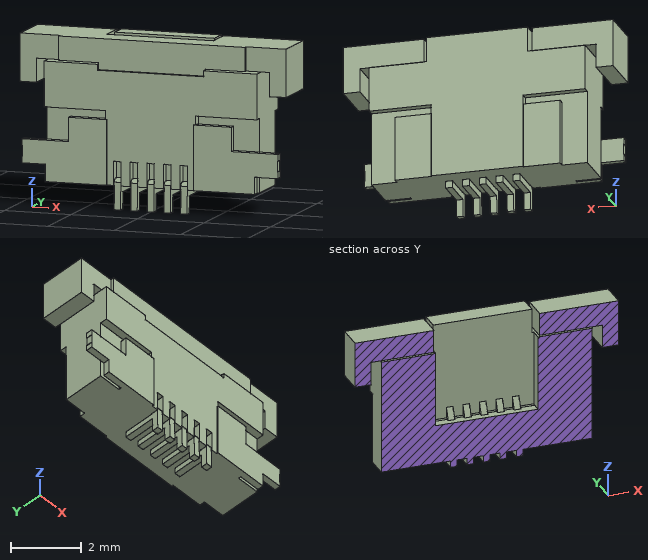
import cadquery as cq
import math


HOUSING_WIDTH = 6.4
HOUSING_DEPTH = 1.82
HOUSING_HEIGHT = 3.47
TAB_RECESS_DEPTH = 0.23
TAB_RECESS_TOP = 2.15
TAB_RECESS_INNER_X = 1.36

OPENING_WIDTH = 3.2
OPENING_FRONT_Y = 0.82
REAR_WALL_WIDTH = 3.0
REAR_WALL_THICKNESS = 0.61
CABLE_SLOT_WIDTH = 3.1
CABLE_SLOT_FLOOR = 1.2
FLOOR_BEVEL_RUN = 0.06
FLOOR_BEVEL_RISE = 0.02

SLIDER_WIDTH = 8.0
SLIDER_TOP = 4.2
SLIDER_BRIDGE_BOTTOM = 3.5
SLIDER_ARM_BOTTOM = 2.8
SLIDER_ARM_WIDTH = 0.5
SLIDER_FRONT_Y = 0.21
SLIDER_BACK_Y = 1.72
SLIDER_BOSS_WIDTH = 5.6
SLIDER_BOSS_FRONT_Y = 0.10
TONGUE_BOTTOM = 3.3

TAB_THICKNESS = 0.2
TAB_PROUD = 0.05
TAB_TOP = 1.9
TAB_INNER_X = 1.31
TAB_STEP_X = 2.45
TAB_BASE_X = 3.15
TAB_FOOT_X = 3.85
TAB_FOOT_BOTTOM = 0.5
TAB_FOOT_TOP = 1.2
FOOT_NICK_DEPTH = 0.01
FOOT_NICK_BOTTOM = 0.7
FOOT_NICK_TOP = 1.0
TAB_PAD_HEIGHT = 0.6
REAR_TAB_INSET = 0.05

CONTACT_COUNT = 5
CONTACT_PITCH = 0.5
CONTACT_WIDTH = 0.2
CONTACT_NOTCH_WIDTH = 0.22
CONTACT_NOTCH_HEIGHT = 0.7
LEG_THICKNESS = 0.2
LEG_LEAN = 0.02
LEG_BOTTOM = -0.7
LEG_TOP = 0.1
LEAD_BOTTOM = -0.2
LEAD_BACK_Y = 1.26
LEAD_TOP = 0.2
BEND_RADIUS = 0.15
BUMP_REACH = 0.15
BUMP_HEIGHT = 0.35

REAR_WALL_FRONT_Y = HOUSING_DEPTH - REAR_WALL_THICKNESS
CONTACT_XS = [(i - (CONTACT_COUNT - 1) / 2) * CONTACT_PITCH for i in range(CONTACT_COUNT)]


def box(x0, x1, y0, y1, z0, z1):
    """Box between two opposite corners."""
    return cq.Workplane("XY").box(x1 - x0, y1 - y0, z1 - z0, centered=False).translate((x0, y0, z0))


def centred_box(width, y0, y1, z0, z1, x=0):
    """Box of the given width, centred on x."""
    return box(x - width / 2, x + width / 2, y0, y1, z0, z1)


def side_profile(x, width):
    """Start a YZ sketch whose extrusion by `width` is centred on x."""
    return cq.Workplane("YZ", origin=(x - width / 2, 0, 0))


def both_sides(solid):
    """The solid together with its mirror image across the mid plane."""
    return solid.union(solid.mirror("YZ"))


def cable_slot():
    """Space for the cable, with a shallow bevel where the floor meets the rear wall."""
    return (
        side_profile(0, CABLE_SLOT_WIDTH)
        .moveTo(OPENING_FRONT_Y, CABLE_SLOT_FLOOR)
        .lineTo(REAR_WALL_FRONT_Y - FLOOR_BEVEL_RUN, CABLE_SLOT_FLOOR)
        .lineTo(REAR_WALL_FRONT_Y, CABLE_SLOT_FLOOR + FLOOR_BEVEL_RISE)
        .lineTo(REAR_WALL_FRONT_Y, SLIDER_TOP)
        .lineTo(OPENING_FRONT_Y, SLIDER_TOP)
        .close()
        .extrude(CABLE_SLOT_WIDTH)
    )


def housing():
    """Block with tab recesses front and back, a tongue notch and contact notches."""
    body = centred_box(HOUSING_WIDTH, 0, HOUSING_DEPTH, 0, HOUSING_HEIGHT)
    rear_wall = centred_box(REAR_WALL_WIDTH, REAR_WALL_FRONT_Y, HOUSING_DEPTH, 0, SLIDER_TOP)
    body = body.union(rear_wall)
    for y0 in (0, HOUSING_DEPTH - TAB_RECESS_DEPTH):
        recess = box(TAB_RECESS_INNER_X, HOUSING_WIDTH / 2, y0, y0 + TAB_RECESS_DEPTH, 0, TAB_RECESS_TOP)
        body = body.cut(both_sides(recess))
    body = body.cut(centred_box(OPENING_WIDTH, 0, OPENING_FRONT_Y, TONGUE_BOTTOM, HOUSING_HEIGHT))
    for x in CONTACT_XS:
        body = body.cut(centred_box(CONTACT_NOTCH_WIDTH, 0, TAB_RECESS_DEPTH, 0, CONTACT_NOTCH_HEIGHT, x))
    return body.cut(cable_slot())


def slider():
    """Bridge with an arm at each end, a front boss, a rear opening and a tongue into the housing."""
    half = SLIDER_WIDTH / 2
    lock = centred_box(SLIDER_WIDTH, SLIDER_FRONT_Y, SLIDER_BACK_Y, SLIDER_BRIDGE_BOTTOM, SLIDER_TOP)
    opening = centred_box(OPENING_WIDTH, OPENING_FRONT_Y, SLIDER_BACK_Y, SLIDER_BRIDGE_BOTTOM, SLIDER_TOP)
    arm = box(half - SLIDER_ARM_WIDTH, half, SLIDER_FRONT_Y, SLIDER_BACK_Y, SLIDER_ARM_BOTTOM, SLIDER_TOP)
    boss = centred_box(
        SLIDER_BOSS_WIDTH, SLIDER_BOSS_FRONT_Y, SLIDER_FRONT_Y, SLIDER_BRIDGE_BOTTOM, SLIDER_TOP
    )
    tongue = centred_box(OPENING_WIDTH, SLIDER_BOSS_FRONT_Y, OPENING_FRONT_Y, TONGUE_BOTTOM, SLIDER_TOP)
    return lock.cut(opening).union(both_sides(arm)).union(boss).union(tongue)


def front_tabs():
    """Stepped solder tabs with end-nicked side feet, each joined to its recess by a low pad."""
    front_y = -TAB_PROUD
    back_y = front_y + TAB_THICKNESS
    tab = box(TAB_INNER_X, TAB_STEP_X, front_y, back_y, 0, TAB_TOP)
    base = box(TAB_STEP_X, TAB_BASE_X, front_y, back_y, 0, TAB_FOOT_TOP)
    foot = box(TAB_STEP_X, TAB_FOOT_X, front_y, back_y, TAB_FOOT_BOTTOM, TAB_FOOT_TOP)
    nick = box(
        TAB_FOOT_X - FOOT_NICK_DEPTH, TAB_FOOT_X, front_y, back_y, FOOT_NICK_BOTTOM, FOOT_NICK_TOP
    )
    pad = box(TAB_RECESS_INNER_X, TAB_STEP_X, back_y, TAB_RECESS_DEPTH, 0, TAB_PAD_HEIGHT)
    return both_sides(tab.union(base).union(foot).cut(nick).union(pad))


def rear_tabs():
    """Plain tabs lying in the rear recesses."""
    front_y = HOUSING_DEPTH - TAB_RECESS_DEPTH
    back_y = HOUSING_DEPTH - REAR_TAB_INSET
    return both_sides(box(TAB_RECESS_INNER_X, TAB_STEP_X, front_y, back_y, 0, TAB_TOP))


def contact_lead(x):
    """Lead under the housing, rounded over in its notch into a slightly leaning leg."""
    bend_centre_z = LEAD_TOP - BEND_RADIUS
    bend_end_angle = math.asin((LEG_TOP - bend_centre_z) / BEND_RADIUS)
    bend_centre_y = LEG_LEAN + BEND_RADIUS * math.cos(bend_end_angle)
    bend_middle_angle = (bend_end_angle + math.pi / 2) / 2
    bend_middle = (
        bend_centre_y - BEND_RADIUS * math.cos(bend_middle_angle),
        bend_centre_z + BEND_RADIUS * math.sin(bend_middle_angle),
    )
    return (
        side_profile(x, CONTACT_WIDTH)
        .moveTo(0, LEG_BOTTOM)
        .lineTo(LEG_THICKNESS, LEG_BOTTOM)
        .lineTo(LEG_THICKNESS + LEG_LEAN, LEAD_BOTTOM)
        .lineTo(LEAD_BACK_Y, LEAD_BOTTOM)
        .lineTo(LEAD_BACK_Y, 0)
        .lineTo(TAB_RECESS_DEPTH, 0)
        .lineTo(TAB_RECESS_DEPTH, LEAD_TOP)
        .lineTo(bend_centre_y, LEAD_TOP)
        .threePointArc(bend_middle, (LEG_LEAN, LEG_TOP))
        .close()
        .extrude(CONTACT_WIDTH)
    )


def contact_bump(x):
    """Wedge on the rear wall that presses on the cable."""
    return (
        side_profile(x, CONTACT_WIDTH)
        .moveTo(REAR_WALL_FRONT_Y, CABLE_SLOT_FLOOR)
        .lineTo(REAR_WALL_FRONT_Y - BUMP_REACH, CABLE_SLOT_FLOOR)
        .lineTo(REAR_WALL_FRONT_Y, CABLE_SLOT_FLOOR + BUMP_HEIGHT)
        .close()
        .extrude(CONTACT_WIDTH)
    )


result = housing().union(slider()).union(front_tabs()).union(rear_tabs())
for contact_x in CONTACT_XS:
    result = result.union(contact_lead(contact_x)).union(contact_bump(contact_x))